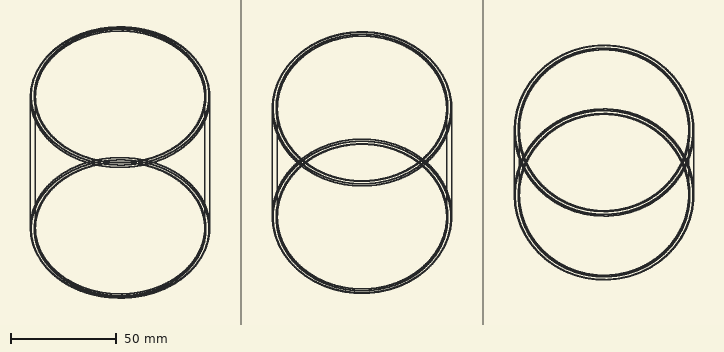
import math

import cadquery as cq

outer_diameter = 85.0
inner_diameter = 80.1
length = 100.0

outer_chamfer_height = 1.2
outer_chamfer_angle = 20.0
outer_chamfer_width = outer_chamfer_height * math.tan(math.radians(outer_chamfer_angle))

inner_chamfer = 0.6

outer_radius = outer_diameter / 2
inner_radius = inner_diameter / 2
full_turn = 360


def wall_profile():
    """Cross-section of the wall as (radius, height) points, chamfered at all four corners."""
    return [
        (inner_radius + inner_chamfer, 0),
        (outer_radius - outer_chamfer_width, 0),
        (outer_radius, outer_chamfer_height),
        (outer_radius, length - outer_chamfer_height),
        (outer_radius - outer_chamfer_width, length),
        (inner_radius + inner_chamfer, length),
        (inner_radius, length - inner_chamfer),
        (inner_radius, inner_chamfer),
    ]


def sleeve():
    """Open tube standing on the XY plane, made by turning the wall profile about the Z axis."""
    return (
        cq.Workplane("YZ")
        .polyline(wall_profile())
        .close()
        .revolve(full_turn, (0, 0), (0, 1))
    )


result = sleeve()